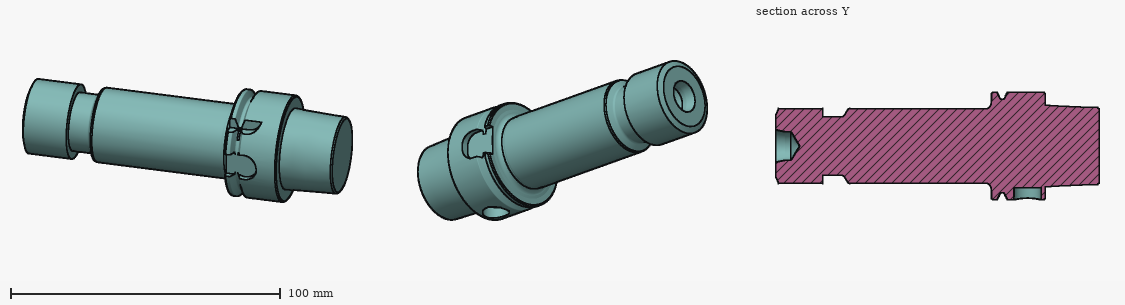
import cadquery as cq
import math


NUT_FACE_X = -100.0
NUT_LENGTH = 17.5
NUT_RADIUS = 14.0
NUT_FACE_RADIUS = 11.6
NUT_BEVEL_LENGTH = 1.0

NECK_RADIUS = 11.0
NECK_FILLET_RADIUS = 1.0
SHANK_RADIUS = 14.0
SHANK_START_X = -72.6
SHANK_BEVEL_RADIUS = 13.7
SHANK_BEVEL_LENGTH = 0.7
NECK_CONE_ANGLE = 60.0
SHANK_STEP_X = -23.2
SHANK_END_RADIUS = 13.9
SHANK_STEP_LENGTH = 0.5

FLANGE_BACK_X = -20.0
FLANGE_RADIUS = 20.0
FLANGE_BACK_BEVEL = 0.5
FLANGE_FRONT_BEVEL = 0.5
FLANGE_ROOT_START_X = -21.8
FLANGE_ROOT_RADIUS = 16.0
FLANGE_DISH_RADIUS = 17.15
FLANGE_DISH_DEPTH = 0.2
GROOVE_CENTRE_X = -16.0
GROOVE_RADIUS = 17.4
GROOVE_FLOOR_WIDTH = 1.2
GROOVE_FLANK_ANGLE = 27.0
GROOVE_EDGE_ROUND = 0.4

TAPER_LENGTH = 20.0
TAPER_BASE_RADIUS = 15.25
TAPER_END_RADIUS = 14.4
TAPER_BEVEL = 0.6

MOUTH_RADIUS = 6.0
THROAT_RADIUS = 5.25
TIP_RADIUS = 4.25
THROAT_DEPTH = 3.5
CYLINDER_END_DEPTH = 5.6
TIP_START_DEPTH = 6.3
TIP_ANGLE = 59.0

SLOT_FLOOR_Y = 17.0
FRONT_SLOT_WIDTH = 9.0
FRONT_SLOT_END_RADIUS = 5.0
REAR_SLOT_WIDTH = 11.0
REAR_SLOT_CORNER_RADIUS = 4.5
SLOT_END_X = -7.6
NOTCH_Y = -12.1
NOTCH_Z = 12.1
NOTCH_END_RADIUS = 5.0
NOTCH_TANGENT_X = SLOT_END_X - NOTCH_END_RADIUS

CHIP_RADIUS = 5.0
CHIP_X = -6.6
CHIP_DEPTH = 4.5

CUT_MARGIN = 5.0


def make_body():
    """Revolve the outside of nut, neck, shank, flange and taper."""
    nut_end_x = NUT_FACE_X + NUT_LENGTH
    cone_end_x = SHANK_START_X - SHANK_BEVEL_LENGTH
    cone_angle = math.radians(NECK_CONE_ANGLE)
    arc_rise = NECK_FILLET_RADIUS * (1 - math.cos(cone_angle))
    arc_run = NECK_FILLET_RADIUS * math.sin(cone_angle)
    cone_start_radius = NECK_RADIUS + arc_rise
    cone_start_x = cone_end_x - (SHANK_BEVEL_RADIUS - cone_start_radius) / math.tan(cone_angle)
    arc_start_x = cone_start_x - arc_run
    arc_mid = (
        arc_start_x + NECK_FILLET_RADIUS * math.sin(cone_angle / 2),
        NECK_RADIUS + NECK_FILLET_RADIUS * (1 - math.cos(cone_angle / 2)),
    )

    root_end_x = FLANGE_BACK_X - FLANGE_DISH_DEPTH
    root_run = root_end_x - FLANGE_ROOT_START_X
    root_rise = FLANGE_ROOT_RADIUS - SHANK_END_RADIUS
    root_arc_radius = (root_run**2 + root_rise**2) / (2 * root_run)
    root_half_sweep = math.asin(root_rise / root_arc_radius) / 2
    root_mid = (
        root_end_x - root_arc_radius * (1 - math.cos(root_half_sweep)),
        FLANGE_ROOT_RADIUS - root_arc_radius * math.sin(root_half_sweep),
    )
    taper_bevel_x = TAPER_LENGTH - TAPER_BEVEL

    return (
        cq.Workplane("XY")
        .moveTo(NUT_FACE_X, 0)
        .lineTo(NUT_FACE_X, NUT_FACE_RADIUS)
        .lineTo(NUT_FACE_X + NUT_BEVEL_LENGTH, NUT_RADIUS)
        .lineTo(nut_end_x, NUT_RADIUS)
        .lineTo(nut_end_x, NECK_RADIUS)
        .lineTo(arc_start_x, NECK_RADIUS)
        .threePointArc(arc_mid, (cone_start_x, cone_start_radius))
        .lineTo(cone_end_x, SHANK_BEVEL_RADIUS)
        .lineTo(SHANK_START_X, SHANK_RADIUS)
        .lineTo(SHANK_STEP_X, SHANK_RADIUS)
        .lineTo(SHANK_STEP_X + SHANK_STEP_LENGTH, SHANK_END_RADIUS)
        .lineTo(FLANGE_ROOT_START_X, SHANK_END_RADIUS)
        .threePointArc(root_mid, (root_end_x, FLANGE_ROOT_RADIUS))
        .lineTo(FLANGE_BACK_X, FLANGE_DISH_RADIUS)
        .lineTo(FLANGE_BACK_X, FLANGE_RADIUS - FLANGE_BACK_BEVEL)
        .lineTo(FLANGE_BACK_X + FLANGE_BACK_BEVEL, FLANGE_RADIUS)
        .lineTo(-FLANGE_FRONT_BEVEL, FLANGE_RADIUS)
        .lineTo(0, FLANGE_RADIUS - FLANGE_FRONT_BEVEL)
        .lineTo(0, TAPER_BASE_RADIUS)
        .lineTo(taper_bevel_x, TAPER_END_RADIUS)
        .lineTo(TAPER_LENGTH, TAPER_END_RADIUS - TAPER_BEVEL)
        .lineTo(TAPER_LENGTH, 0)
        .close()
        .revolve(360, (0, 0, 0), (1, 0, 0))
    )


def cut_gripper_groove(body):
    """Cut a V groove with a flat floor around the flange and round its four edges."""
    flank_slope = math.tan(math.radians(GROOVE_FLANK_ANGLE))
    top_radius = FLANGE_RADIUS + CUT_MARGIN
    half_floor = GROOVE_FLOOR_WIDTH / 2
    half_top = half_floor + (top_radius - GROOVE_RADIUS) * flank_slope
    half_crest = half_floor + (FLANGE_RADIUS - GROOVE_RADIUS) * flank_slope
    groove = (
        cq.Workplane("XY")
        .moveTo(GROOVE_CENTRE_X - half_top, top_radius)
        .lineTo(GROOVE_CENTRE_X - half_floor, GROOVE_RADIUS)
        .lineTo(GROOVE_CENTRE_X + half_floor, GROOVE_RADIUS)
        .lineTo(GROOVE_CENTRE_X + half_top, top_radius)
        .close()
        .revolve(360, (0, 0, 0), (1, 0, 0))
    )
    on_axis = 0.1
    groove_edges = cq.selectors.BoxSelector(
        (GROOVE_CENTRE_X - half_crest - on_axis, -on_axis, -on_axis),
        (GROOVE_CENTRE_X + half_crest + on_axis, on_axis, on_axis),
    )
    return body.cut(groove).edges(groove_edges).fillet(GROOVE_EDGE_ROUND)


def make_collet_opening():
    """Stepped conical opening in the nut face, ending in a drilled tip."""
    tip_length = TIP_RADIUS / math.tan(math.radians(TIP_ANGLE))
    return (
        cq.Workplane("XY")
        .moveTo(NUT_FACE_X, 0)
        .lineTo(NUT_FACE_X, MOUTH_RADIUS)
        .lineTo(NUT_FACE_X + THROAT_DEPTH, THROAT_RADIUS)
        .lineTo(NUT_FACE_X + CYLINDER_END_DEPTH, THROAT_RADIUS)
        .lineTo(NUT_FACE_X + TIP_START_DEPTH, TIP_RADIUS)
        .lineTo(NUT_FACE_X + TIP_START_DEPTH + tip_length, 0)
        .close()
        .revolve(360, (0, 0, 0), (1, 0, 0))
    )


def flange_block(end_x, width):
    """Block from the flange back face up to end_x, standing on the slot floor at +Y."""
    start_x = FLANGE_BACK_X
    return cq.Workplane("XY").box(
        end_x - start_x, CUT_MARGIN + FLANGE_RADIUS - SLOT_FLOOR_Y, width, centered=(False, False, True)
    ).translate((start_x, SLOT_FLOOR_Y, 0))


def make_front_slot():
    """Drive slot on the -Y side with a full round, slightly wider end."""
    end_centre_x = SLOT_END_X - FRONT_SLOT_END_RADIUS
    depth = FLANGE_RADIUS + CUT_MARGIN - SLOT_FLOOR_Y
    round_end = (
        cq.Workplane("XZ", origin=(end_centre_x, -SLOT_FLOOR_Y, 0))
        .circle(FRONT_SLOT_END_RADIUS)
        .extrude(depth)
    )
    straight = flange_block(end_centre_x, FRONT_SLOT_WIDTH).mirror("XZ")
    return straight.union(round_end)


def make_rear_slot():
    """Drive slot on the +Y side with two rounded end corners."""
    return flange_block(SLOT_END_X, REAR_SLOT_WIDTH).edges("|Y and >X").fillet(REAR_SLOT_CORNER_RADIUS)


def make_orientation_notch():
    """Corner notch towards -Y and +Z whose floor runs out in a cylindrical end."""
    outer = FLANGE_RADIUS + CUT_MARGIN
    arc_mid_x = NOTCH_TANGENT_X + NOTCH_END_RADIUS * math.sin(math.radians(45))
    arc_mid_z = NOTCH_Z + NOTCH_END_RADIUS * (1 - math.cos(math.radians(45)))
    end_x = NOTCH_TANGENT_X + NOTCH_END_RADIUS
    return (
        cq.Workplane("XZ", origin=(0, NOTCH_Y, 0))
        .moveTo(FLANGE_BACK_X, NOTCH_Z)
        .lineTo(NOTCH_TANGENT_X, NOTCH_Z)
        .threePointArc((arc_mid_x, arc_mid_z), (end_x, NOTCH_Z + NOTCH_END_RADIUS))
        .lineTo(end_x, outer)
        .lineTo(FLANGE_BACK_X, outer)
        .close()
        .extrude(outer + NOTCH_Y)
    )


def make_chip_pocket():
    """Round flat-bottomed pocket on the -Z side of the flange."""
    return (
        cq.Workplane("XY", origin=(CHIP_X, 0, -FLANGE_RADIUS - CUT_MARGIN))
        .circle(CHIP_RADIUS)
        .extrude(CHIP_DEPTH + CUT_MARGIN)
    )


result = (
    cut_gripper_groove(make_body())
    .cut(make_collet_opening())
    .cut(make_front_slot())
    .cut(make_rear_slot())
    .cut(make_orientation_notch())
    .cut(make_chip_pocket())
)